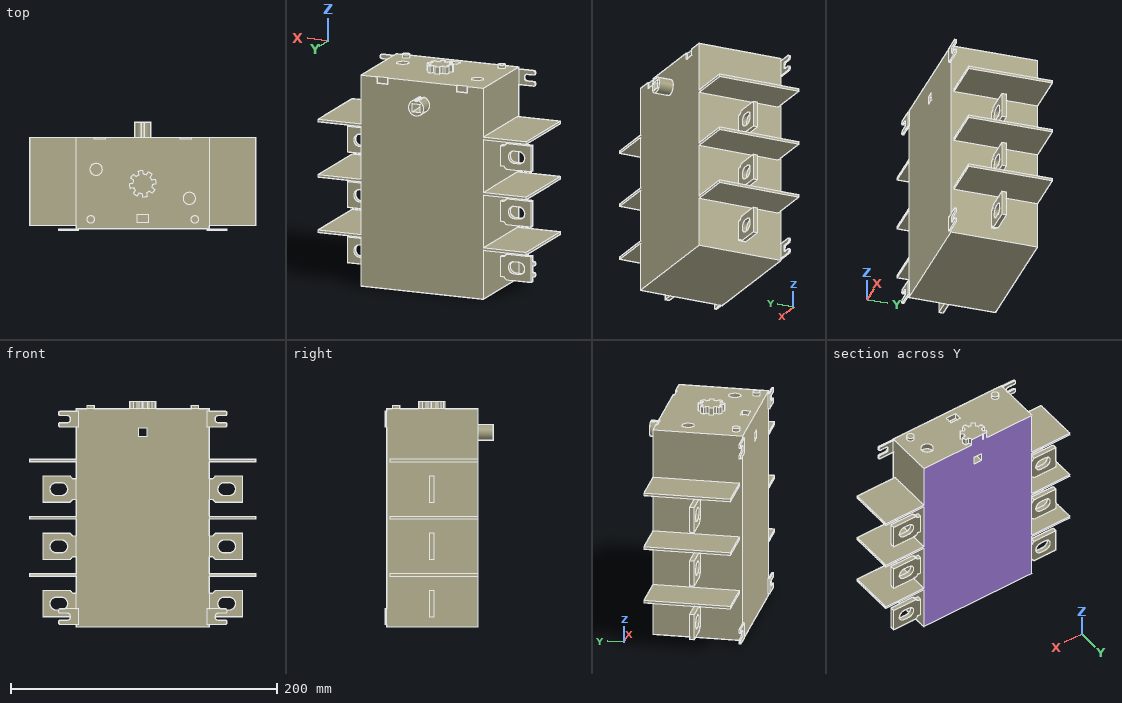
import cadquery as cq

BODY_WIDTH = 100.0
BODY_DEPTH = 68.7
BODY_HEIGHT = 164.0
HALF_WIDTH = BODY_WIDTH / 2

AXIS_Y = 33.8

POLE_COUNT = 3
POLE_PITCH = 43.0
BARRIER_SPAN = 170.0
BARRIER_THICKNESS = 2.0
BARRIER_FRONT_GAP = 2.4
TOP_BARRIER_Z = BODY_HEIGHT - 39.0

TERMINAL_REACH = 75.0
TERMINAL_HEIGHT = 20.0
TERMINAL_THICKNESS = 3.5
TERMINAL_SHOULDER = 2.2
TERMINAL_NECK_LENGTH = 2.5
TERMINAL_SLOT_LENGTH = 13.1
TERMINAL_SLOT_HEIGHT = 9.5
TERMINAL_SLOT_X = 63.0
TERMINAL_EMBED = 1.7

FOOT_OUTER_X = 63.2
FOOT_INNER_X = 48.3
FOOT_HEIGHT = 12.0
FOOT_THICKNESS = 1.2
FOOT_INSET_Z = 7.8
FOOT_SLOT_WIDTH = 5.1
FOOT_SLOT_END_X = 54.5
FOOT_SLOT_RADIUS = 1.9
FOOT_TIP_RADIUS = 1.4

COUPLING_TEETH = 8
COUPLING_RADIUS = 10.0
COUPLING_ROOT_RADIUS = 7.3
COUPLING_TOOTH_WIDTH = 3.4
COUPLING_TURN = 10.0
COUPLING_HEIGHT = 5.5

PIN_DIAMETER = 5.6
PIN_HEIGHT = 2.5
PIN_X = 39.1
PIN_Y = 7.1
HOLE_DIAMETER = 9.2
HOLE_OFFSET_X = 35.0
HOLE_OFFSET_Y = 10.9
TOP_POCKET_DEPTH = 5.0
WINDOW_WIDTH = 8.5
WINDOW_LENGTH = 6.1
WINDOW_Y = 7.8
NOTCH_WIDTH = 8.7
NOTCH_DEPTH = 1.0
NOTCH_HEIGHT = 5.0
NOTCH_X = 32.5

SHAFT_DIAMETER = 12.2
SHAFT_LENGTH = 11.5
SHAFT_Z = BODY_HEIGHT - 17.7
BORE_SIDE = 6.3
KEYWAY_MOUTH_WIDTH = 3.0
KEYWAY_FLOOR_WIDTH = 1.9
KEYWAY_DEPTH = 0.8


def block(x_size, y_size, z_size, x, y, z):
    """Box centred at the given point."""
    return cq.Workplane("XY").box(x_size, y_size, z_size).translate((x, y, z))


def extrude_along_y(outline, start_y, depth):
    """Extrude an outline drawn on an XZ plane (normal -Y) from start_y towards +Y."""
    return outline.extrude(-depth).translate((0, start_y, 0))


def both_sides(shape):
    """The shape together with its mirror image across the YZ plane."""
    return shape.union(shape.mirror("YZ"))


def barrier(z):
    depth = BODY_DEPTH - BARRIER_FRONT_GAP
    center_y = BARRIER_FRONT_GAP + depth / 2
    return block(BARRIER_SPAN, depth, BARRIER_THICKNESS, 0, center_y, z)


def terminal(z):
    """Right-hand flat terminal with a necked root and an elongated bolt hole."""
    half = TERMINAL_HEIGHT / 2
    half_neck = half - TERMINAL_SHOULDER
    root_x = HALF_WIDTH - TERMINAL_EMBED
    neck_x = HALF_WIDTH + TERMINAL_NECK_LENGTH
    shoulder_x = neck_x + TERMINAL_SHOULDER
    outline = cq.Workplane("XZ").polyline([
        (root_x, half_neck),
        (neck_x, half_neck),
        (shoulder_x, half),
        (TERMINAL_REACH, half),
        (TERMINAL_REACH, -half),
        (shoulder_x, -half),
        (neck_x, -half_neck),
        (root_x, -half_neck),
    ]).close()
    start_y = AXIS_Y - TERMINAL_THICKNESS / 2
    plate = extrude_along_y(outline, start_y, TERMINAL_THICKNESS)
    slot = cq.Workplane("XZ").center(TERMINAL_SLOT_X, 0).slot2D(TERMINAL_SLOT_LENGTH, TERMINAL_SLOT_HEIGHT)
    return plate.cut(extrude_along_y(slot, start_y, TERMINAL_THICKNESS)).translate((0, 0, z))


def foot(z):
    """Right-hand mounting foot: a thin plate with an open-ended slot."""
    length = FOOT_OUTER_X - FOOT_INNER_X
    plate_y = -FOOT_THICKNESS / 2
    slot_length = FOOT_OUTER_X - FOOT_SLOT_END_X
    slot = block(slot_length, FOOT_THICKNESS, FOOT_SLOT_WIDTH,
                 FOOT_SLOT_END_X + slot_length / 2, plate_y, 0)
    slot = slot.faces("<X").edges("|Y").fillet(FOOT_SLOT_RADIUS)
    plate = block(length, FOOT_THICKNESS, FOOT_HEIGHT, FOOT_INNER_X + length / 2, plate_y, 0)
    plate = plate.cut(slot)
    return plate.faces(">X").edges("|Y").fillet(FOOT_TIP_RADIUS).translate((0, 0, z))


def coupling():
    """Round hub with straight-sided teeth trimmed to the outer circle."""
    tooth = block(COUPLING_RADIUS, COUPLING_TOOTH_WIDTH, COUPLING_HEIGHT,
                  COUPLING_RADIUS / 2, 0, COUPLING_HEIGHT / 2)
    tooth_limit = cq.Workplane("XY").circle(COUPLING_RADIUS).extrude(COUPLING_HEIGHT)
    tooth = tooth.intersect(tooth_limit)
    hub = cq.Workplane("XY").circle(COUPLING_ROOT_RADIUS).extrude(COUPLING_HEIGHT)
    for index in range(COUPLING_TEETH):
        angle = COUPLING_TURN + index * 360 / COUPLING_TEETH
        hub = hub.union(tooth.rotate((0, 0, 0), (0, 0, 1), angle))
    return hub.translate((0, AXIS_Y, BODY_HEIGHT))


def shaft():
    """Drive shaft with a tapered keyway along its upper side."""
    circle = cq.Workplane("XZ").circle(SHAFT_DIAMETER / 2)
    bar = extrude_along_y(circle, BODY_DEPTH, SHAFT_LENGTH)
    mouth_z = SHAFT_DIAMETER / 2
    floor_z = mouth_z - KEYWAY_DEPTH
    half_mouth = KEYWAY_MOUTH_WIDTH / 2
    half_floor = KEYWAY_FLOOR_WIDTH / 2
    keyway_outline = cq.Workplane("XZ").polyline([
        (-half_mouth, mouth_z),
        (half_mouth, mouth_z),
        (half_floor, floor_z),
        (-half_floor, floor_z),
    ]).close()
    keyway = extrude_along_y(keyway_outline, BODY_DEPTH, SHAFT_LENGTH)
    return bar.cut(keyway).translate((0, 0, SHAFT_Z))


top_plane = cq.Workplane("XY").workplane(offset=BODY_HEIGHT)

result = cq.Workplane("XY").box(BODY_WIDTH, BODY_DEPTH, BODY_HEIGHT, centered=(True, False, False))
for pole in range(POLE_COUNT):
    barrier_z = TOP_BARRIER_Z - pole * POLE_PITCH
    result = result.union(barrier(barrier_z))
    result = result.union(both_sides(terminal(barrier_z - POLE_PITCH / 2)))
for foot_z in (FOOT_INSET_Z, BODY_HEIGHT - FOOT_INSET_Z):
    result = result.union(both_sides(foot(foot_z)))
result = result.union(coupling())
result = result.union(shaft())
pin_centers = [(-PIN_X, PIN_Y), (PIN_X, PIN_Y)]
result = result.union(top_plane.pushPoints(pin_centers).circle(PIN_DIAMETER / 2).extrude(PIN_HEIGHT))

hole_centers = [
    (-HOLE_OFFSET_X, AXIS_Y + HOLE_OFFSET_Y),
    (HOLE_OFFSET_X, AXIS_Y - HOLE_OFFSET_Y),
]
round_holes = top_plane.pushPoints(hole_centers).circle(HOLE_DIAMETER / 2).extrude(-TOP_POCKET_DEPTH)
window = top_plane.center(0, WINDOW_Y).rect(WINDOW_WIDTH, WINDOW_LENGTH).extrude(-TOP_POCKET_DEPTH)
result = result.cut(round_holes).cut(window)

notch = block(NOTCH_WIDTH, NOTCH_DEPTH, NOTCH_HEIGHT,
              NOTCH_X, BODY_DEPTH - NOTCH_DEPTH / 2, BODY_HEIGHT - NOTCH_HEIGHT / 2)
result = result.cut(both_sides(notch))

bore_length = BODY_DEPTH + SHAFT_LENGTH
result = result.cut(block(BORE_SIDE, bore_length, BORE_SIDE, 0, bore_length / 2, SHAFT_Z))